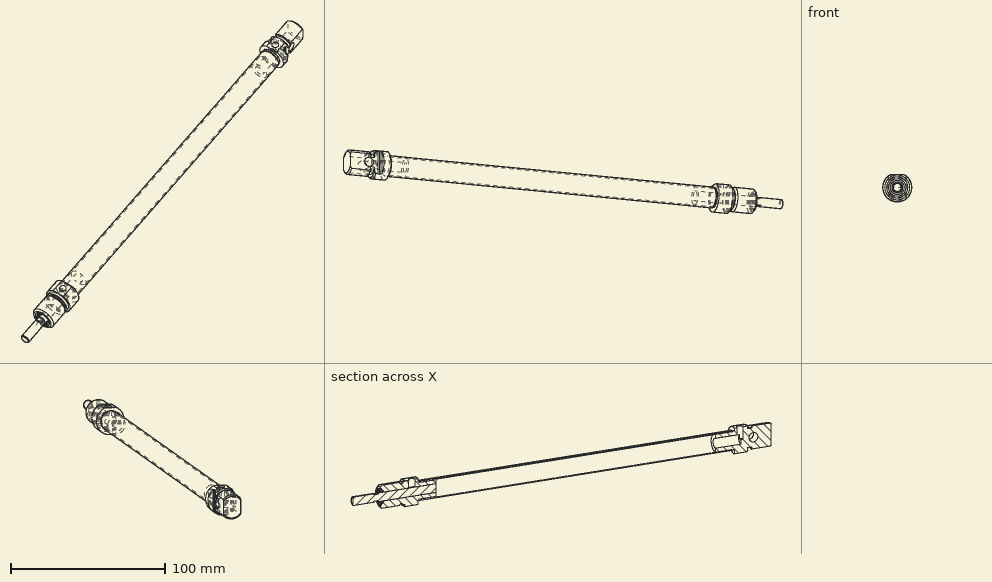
import cadquery as cq

total_length = 304.0
thread_dia = 16.0
collar_dia = 19.0
port_flat_height = 8.5
spigot_dia = 12.0
port_dia = 4.3
neck_dia = 13.0

rod_dia = 6.0
shank_dia = 6.5
shank_start = 18.5
rod_tip_chamfer = 0.45
wrench_across_flats = 5.0
wrench_flat_start = 15.2

nose_y = 19.8
nose_length = 15.2
nose_chamfer = 1.2
front_groove_dia = 13.7
front_groove_length = 1.0
front_groove_cone = 1.2
front_collar_start = 37.7
front_collar_length = 9.7
recess_dia = 11.2
recess_depth = 1.0
seal_dia = 9.0
seal_depth = 1.8
wiper_dia = 7.0
wiper_depth = 2.7
front_collar_end = front_collar_start + front_collar_length
front_neck_length = 1.0
front_port_y = 43.0

tube_dia = 13.7
tube_start = front_collar_end + front_neck_length
tube_end = 275.5

tang_width = 12.0
tang_length = 14.3
tang_chamfer = 1.0
pin_hole_dia = 6.0
pin_hole_to_end = 13.0
pin_hole_y = total_length - pin_hole_to_end
rear_groove_dia = 13.5
rear_groove_length = 2.7
rear_collar_end = total_length - tang_length - rear_groove_length
rear_collar_chamfer = 1.0
rear_collar_start = 277.0
side_flat_start = 281.8
side_groove_width = 1.2
side_groove_depth = 0.3
side_groove_start = 283.3
rear_bore_dia = 6.5
rear_bore_end = 281.8
rear_port_y = 281.2

spigot_length = 12.2
rod_end = tube_start + spigot_length


def turned(profile):
    """Solid of revolution about Y from (radius, y) points that start and end on the axis."""
    return cq.Workplane("XY").polyline(profile).close().revolve(360, (0, 0), (0, 1))


def cylinder(diameter, y_start, y_end):
    """Cylinder along Y between two stations."""
    return cq.Workplane("XZ", origin=(0, y_start, 0)).circle(diameter / 2).extrude(y_start - y_end)


def slab(width, y_start, y_end, z_low, z_high):
    """Box centred on X between two Y stations and two heights."""
    size = (width, y_end - y_start, z_high - z_low)
    middle = (0, (y_start + y_end) / 2, (z_low + z_high) / 2)
    return cq.Workplane("XY").box(*size).translate(middle)


def cut_port(cap, y_start, y_end, port_y):
    """Mill the flat on top of a collar and drill the air port down to the axis."""
    cap = cap.cut(slab(collar_dia, y_start, y_end, port_flat_height, collar_dia))
    port = cq.Workplane("XY", origin=(0, port_y, 0)).circle(port_dia / 2).extrude(port_flat_height)
    return cap.cut(port)


def make_rod():
    """Piston rod with two wrench flats, guided in the front cap by its slightly thicker shank."""
    radius = rod_dia / 2
    rod = turned([
        (0, 0),
        (radius - rod_tip_chamfer, 0),
        (radius, rod_tip_chamfer),
        (radius, shank_start),
        (shank_dia / 2, shank_start),
        (shank_dia / 2, rod_end),
        (0, rod_end),
    ])
    flat = wrench_across_flats / 2
    for z_low, z_high in ((flat, rod_dia), (-rod_dia, -flat)):
        rod = rod.cut(slab(rod_dia, wrench_flat_start, shank_start, z_low, z_high))
    return rod


def make_front_cap():
    """Front cap: threaded nose, collar with air port, spigot in the tube and a stepped bore for the rod."""
    thread_r = thread_dia / 2
    groove_r = front_groove_dia / 2
    collar_r = collar_dia / 2
    nose_end = nose_y + nose_length
    groove_end = nose_end + front_groove_length
    cap = turned([
        (0, nose_y),
        (thread_r - nose_chamfer, nose_y),
        (thread_r, nose_y + nose_chamfer),
        (thread_r, nose_end - front_groove_cone),
        (groove_r, nose_end),
        (groove_r, groove_end),
        (thread_r, groove_end),
        (thread_r, front_collar_start),
        (collar_r, front_collar_start),
        (collar_r, front_collar_end),
        (neck_dia / 2, front_collar_end),
        (neck_dia / 2, tube_start),
        (spigot_dia / 2, tube_start),
        (spigot_dia / 2, rod_end),
        (0, rod_end),
    ])

    cap = cut_port(cap, front_collar_start, front_collar_end, front_port_y)
    cap = cap.cut(cylinder(recess_dia, nose_y, nose_y + recess_depth))
    cap = cap.cut(cylinder(seal_dia, nose_y, nose_y + seal_depth))
    cap = cap.cut(cylinder(wiper_dia, nose_y, nose_y + wiper_depth))
    return cap.cut(cylinder(shank_dia, nose_y, rod_end))


def make_tube():
    """Plain tube between the two caps, fitting over their spigots."""
    return cylinder(tube_dia, tube_start, tube_end).cut(cylinder(spigot_dia, tube_start, tube_end))


def make_rear_cap():
    """Rear cap: tang with a cross hole, collar with air port, spigot in the tube and an air bore."""
    thread_r = thread_dia / 2
    groove_r = rear_groove_dia / 2
    collar_r = collar_dia / 2
    neck_r = neck_dia / 2
    spigot_r = spigot_dia / 2
    tang_start = total_length - tang_length
    cap = turned([
        (0, tube_end - spigot_length),
        (spigot_r, tube_end - spigot_length),
        (spigot_r, tube_end),
        (neck_r, tube_end),
        (neck_r, rear_collar_start),
        (collar_r, rear_collar_start),
        (collar_r, rear_collar_end - rear_collar_chamfer),
        (collar_r - rear_collar_chamfer, rear_collar_end),
        (groove_r, rear_collar_end),
        (groove_r, tang_start),
        (thread_r, tang_start),
        (thread_r, total_length - tang_chamfer),
        (thread_r - tang_chamfer, total_length),
        (0, total_length),
    ])

    groove_end = side_groove_start + side_groove_width
    grooved_width = tang_width - 2 * side_groove_depth
    stretches = (
        (collar_dia, tube_end - spigot_length, side_flat_start),
        (tang_width, side_flat_start, side_groove_start),
        (grooved_width, side_groove_start, groove_end),
        (tang_width, groove_end, total_length),
    )
    envelope = cq.Workplane("XY")
    for width, y_start, y_end in stretches:
        envelope = envelope.union(slab(width, y_start, y_end, -collar_r, collar_r))
    cap = cap.intersect(envelope)

    cap = cut_port(cap, rear_collar_start, rear_collar_end, rear_port_y)
    cap = cap.cut(cylinder(rear_bore_dia, tube_end - spigot_length, rear_bore_end))
    pin_hole = cq.Workplane("YZ", origin=(-collar_r, pin_hole_y, 0)).circle(pin_hole_dia / 2)
    return cap.cut(pin_hole.extrude(collar_dia))


rod = make_rod()
front_cap = make_front_cap()
tube = make_tube()
rear_cap = make_rear_cap()

result = cq.Compound.makeCompound([rod.val(), front_cap.val(), tube.val(), rear_cap.val()])